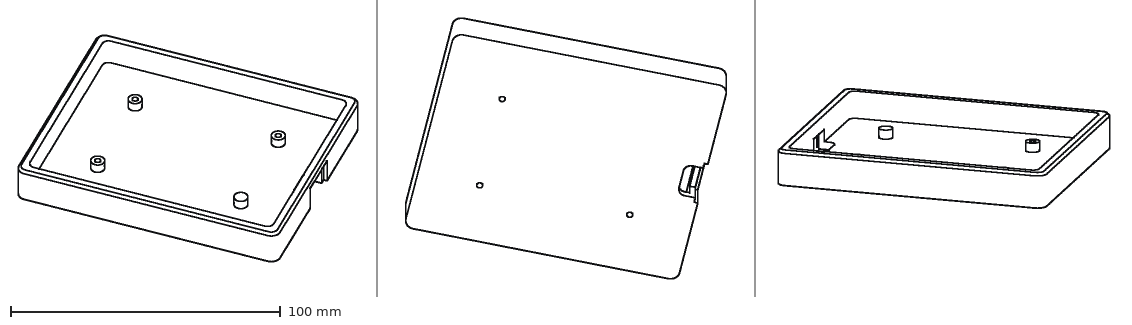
import cadquery as cq

length = 104.0
width = 85.0
height = 13.5
wall = 3.5
floor = 3.0
outer_radius = 3.5
inner_radius = 2.5
rim_chamfer = 1.0

post_diameter = 5.2
post_height = 3.5
pilot_diameter = 2.2
post_x = 28.5
post_y = 18.9

opening_width = 13.0
opening_top = floor + 4.8
opening_inner_x = 43.8
opening_radius = 2.7
relief_depth = 1.4
relief_margin = 2.0

inner_length = length - 2 * wall
inner_width = width - 2 * wall


def make_tray():
    """Rounded box with a chamfered rim, hollowed from above."""
    body = cq.Workplane("XY").box(length, width, height, centered=(True, True, False))
    body = body.edges("|Z").fillet(outer_radius)
    body = body.faces(">Z").edges().chamfer(rim_chamfer)
    cavity = (
        cq.Workplane("XY", origin=(0, 0, floor))
        .rect(inner_length, inner_width)
        .extrude(height - floor)
        .edges("|Z")
        .fillet(inner_radius)
    )
    return body.cut(cavity)


def add_posts(body):
    """Three standoffs with through holes; the one at +X, -Y is solid."""
    drilled = [(-post_x, -post_y), (-post_x, post_y), (post_x, post_y)]
    solid = [(post_x, -post_y)]
    posts = (
        cq.Workplane("XY")
        .pushPoints(drilled + solid)
        .circle(post_diameter / 2)
        .extrude(floor + post_height)
    )
    holes = (
        cq.Workplane("XY")
        .pushPoints(drilled)
        .circle(pilot_diameter / 2)
        .extrude(floor + post_height)
    )
    return body.union(posts).cut(holes)


def cut_opening(body):
    """Opening through floor and wall, with the wider relief outside it."""
    opening_length = length / 2 - opening_inner_x
    opening = (
        cq.Workplane("XY", origin=(opening_inner_x, 0, 0))
        .box(opening_length, opening_width, opening_top, centered=(False, True, False))
        .edges("|Z and <X")
        .fillet(opening_radius)
    )
    relief = cq.Workplane("XY", origin=(length / 2 - relief_depth, 0, 0)).box(
        relief_depth,
        opening_width + 2 * relief_margin,
        opening_top + relief_margin,
        centered=(False, True, False),
    )
    return body.cut(opening).cut(relief)


result = cut_opening(add_posts(make_tray()))